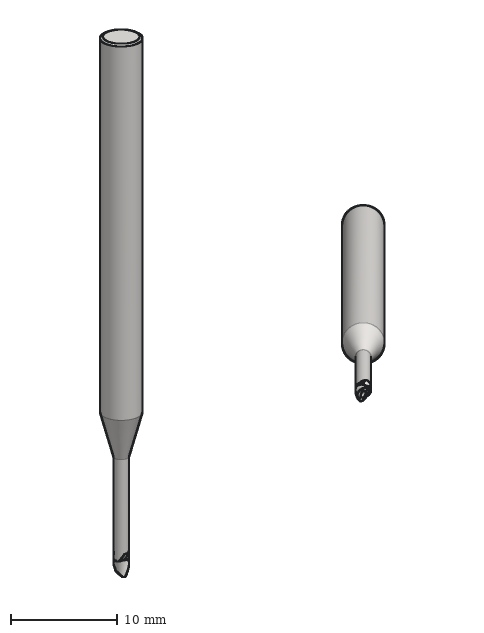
import cadquery as cq

length = 55.0
shank_diameter = 4.0
neck_diameter = 1.5
shank_radius = shank_diameter / 2
neck_radius = neck_diameter / 2

head_top = 1.6
runout_top = 2.35
neck_top = 12.05
cone_top = 16.6

chamfer_width = 0.3
chamfer_height = 0.15

core_radius = 0.45
head_twist = 90.0
twist_per_height = head_twist / head_top

flute_radius = 1.65
flute_offset = core_radius + flute_radius

tip_half_width = 0.15
bevel_height = 0.5
bevel_half_width = 0.55
dish_radius = 0.35
dish_depth = 0.1


def helical_head():
    """Two-lobed bar with two sharp helical cutting edges."""
    return (
        cq.Workplane("XY")
        .moveTo(-neck_radius, 0)
        .threePointArc((0, core_radius), (neck_radius, 0))
        .threePointArc((0, -core_radius), (-neck_radius, 0))
        .close()
        .twistExtrude(head_top, head_twist)
    )


def flute_runouts():
    """Both helical flutes above the head, fading out where the core cone meets the neck."""
    height = runout_top - head_top
    flutes = (
        cq.Workplane("XY")
        .pushPoints([(0, flute_offset), (0, -flute_offset)])
        .circle(flute_radius)
        .twistExtrude(height, twist_per_height * height)
        .rotate((0, 0, 0), (0, 0, 1), head_twist)
        .translate((0, 0, head_top))
    )
    return flutes.cut(runout_cone())


def runout_cone():
    """Core that widens from the minor radius to the full neck, ending the flutes."""
    return (
        cq.Workplane("XZ")
        .moveTo(0, head_top)
        .lineTo(core_radius, head_top)
        .lineTo(neck_radius, runout_top)
        .lineTo(0, runout_top)
        .close()
        .revolve(360, (0, 0, 0), (0, 1, 0))
    )


def make_shank():
    """Shank, cone and neck as one turned body with flute runouts at its lower end."""
    turned = (
        cq.Workplane("XZ")
        .moveTo(0, head_top)
        .lineTo(neck_radius, head_top)
        .lineTo(neck_radius, neck_top)
        .lineTo(shank_radius, cone_top)
        .lineTo(shank_radius, length - chamfer_height)
        .lineTo(shank_radius - chamfer_width, length)
        .lineTo(0, length)
        .close()
        .revolve(360, (0, 0, 0), (0, 1, 0))
    )
    return turned.cut(flute_runouts())


def bevelled_envelope():
    """Prism along X that narrows in Y towards the tip."""
    return (
        cq.Workplane("YZ")
        .moveTo(-tip_half_width, 0)
        .lineTo(tip_half_width, 0)
        .lineTo(bevel_half_width, bevel_height)
        .lineTo(neck_radius, bevel_height)
        .lineTo(neck_radius, head_top)
        .lineTo(-neck_radius, head_top)
        .lineTo(-neck_radius, bevel_height)
        .lineTo(-bevel_half_width, bevel_height)
        .close()
        .extrude(neck_radius, both=True)
    )


def make_cutting_head():
    """Two-lobed helical head with a bevelled, slightly dished tip."""
    dish = cq.Workplane(cq.Solid.makeCone(dish_radius, 0, dish_depth))
    return helical_head().intersect(bevelled_envelope()).cut(dish)


shank = make_shank()
cutting_head = make_cutting_head()
result = cq.Compound.makeCompound([shank.val(), cutting_head.val()])